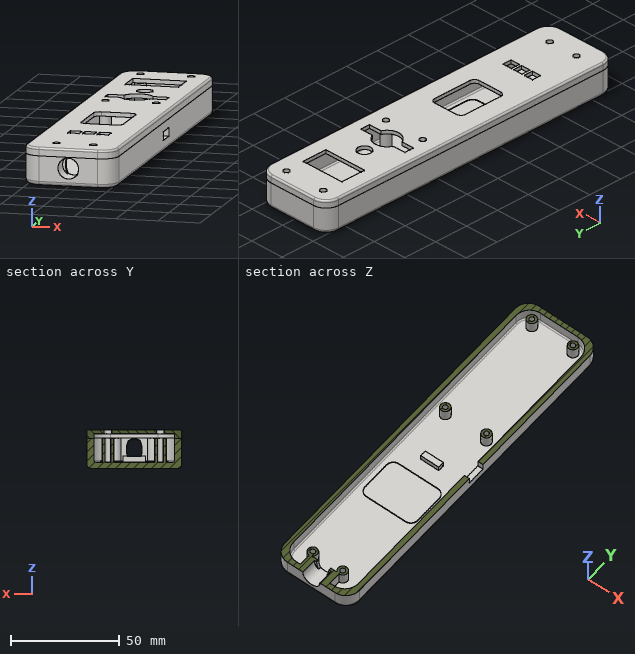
import cadquery as cq

width = 44.0
length = 187.26
height = 18.0
corner_radius = 8.0
lid_height = 4.0
seam_z = height - lid_height
bottom_fillet = 2.0
top_fillet = 1.0
front_y = -length / 2

wall = 3.0
floor_z = 3.0
floor_fillet = 0.75
plate_thickness = 2.0
plate_bottom = height - plate_thickness
inner_width = width - 2 * wall
inner_length = length - 2 * wall

upper_screw_x = 12.1
upper_screw_rows = (85.6, 21.3)
lower_screw_x = 8.8
lower_screw_y = -81.4
screw_clearance_diameter = 3.4
screw_pilot_diameter = 2.4
boss_diameter = 5.5
screw_points = [(side * upper_screw_x, y) for y in upper_screw_rows for side in (-1, 1)]
screw_points += [(side * lower_screw_x, lower_screw_y) for side in (-1, 1)]

display_width = 25.5
display_length = 14.7
display_y = 66.9
lamp_diameter = 7.7
lamp_y = 47.1
dial_diameter = 14.8
dial_slot_width = 29.0
dial_slot_length = 5.6
dial_y = 32.4
window_width = 20.0
window_length = 28.6
window_y = -19.7
window_corner_radius = 3.0
button_width = 5.5
button_length = 5.2
button_pitch = 7.0
button_count = 3
button_y = -54.7

bore_diameter = 9.8
bore_z = 8.7
bore_depth = 8.5
throat_half_width = 3.55
throat_half_height = 5.9
throat_depth = 1.5
cable_block_width = 2 * lower_screw_x
cable_block_length = bore_depth + throat_depth

pad_width = 31.0
pad_length = 24.0
pad_height = 0.4
pad_end_y = -14.1
pad_corner_radius = 4.0

stop_width = 10.6
stop_length = 3.4
stop_height = 2.7
stop_y = -3.9
port_length = 10.0
port_height = 4.0
port_start_y = -3.8
port_bottom = floor_z + stop_height


def block(size_x, size_y, bottom, top, y=0.0, x=0.0):
    """Upright rectangular block centred on (x, y)."""
    return cq.Workplane("XY", origin=(x, y, bottom)).rect(size_x, size_y).extrude(top - bottom)


def rounded_block(size_x, size_y, bottom, top, radius, y=0.0):
    return block(size_x, size_y, bottom, top, y).edges("|Z").fillet(radius)


def cylinders(points, diameter, bottom, top):
    sketch = cq.Workplane("XY", origin=(0, 0, bottom)).pushPoints(points)
    return sketch.circle(diameter / 2).extrude(top - bottom)


def make_cable_passage():
    """Bore from the end face, then the part of an oval that lies inside the bore."""
    end_plane = cq.Workplane("XZ", origin=(0, front_y, bore_z))
    bore = end_plane.circle(bore_diameter / 2).extrude(-bore_depth)
    long_bore = end_plane.circle(bore_diameter / 2).extrude(-cable_block_length)
    oval = end_plane.ellipse(throat_half_width, throat_half_height).extrude(-cable_block_length)
    return bore.union(long_bore.intersect(oval))


def make_base():
    shell = rounded_block(width, length, 0, seam_z, corner_radius)
    shell = shell.faces("<Z").edges().fillet(bottom_fillet)
    cavity = rounded_block(inner_width, inner_length, floor_z, seam_z, corner_radius)
    body = shell.cut(cavity.faces("<Z").edges().fillet(floor_fillet))

    body = body.union(cylinders(screw_points, boss_diameter, floor_z, seam_z))
    pad_y = pad_end_y - pad_length / 2
    pad_top = floor_z + pad_height
    body = body.union(rounded_block(pad_width, pad_length, floor_z, pad_top, pad_corner_radius, pad_y))
    body = body.union(block(stop_width, stop_length, floor_z, floor_z + stop_height, stop_y))

    inner_end_y = front_y + wall
    block_back_y = front_y + cable_block_length
    block_y = (inner_end_y + block_back_y) / 2
    body = body.union(block(cable_block_width, block_back_y - inner_end_y, floor_z, seam_z, block_y))
    body = body.cut(make_cable_passage())

    port_x = (width - wall) / 2
    port_y = port_start_y + port_length / 2
    body = body.cut(block(wall, port_length, port_bottom, port_bottom + port_height, port_y, port_x))

    return body.cut(cylinders(screw_points, screw_pilot_diameter, floor_z, seam_z))


def make_lid():
    shell = rounded_block(width, length, seam_z, height, corner_radius)
    shell = shell.faces(">Z").edges().fillet(top_fillet)
    body = shell.cut(rounded_block(inner_width, inner_length, seam_z, plate_bottom, corner_radius))

    body = body.cut(block(display_width, display_length, plate_bottom, height, display_y))
    body = body.cut(cylinders([(0, lamp_y)], lamp_diameter, plate_bottom, height))
    body = body.cut(cylinders([(0, dial_y)], dial_diameter, plate_bottom, height))
    body = body.cut(block(dial_slot_width, dial_slot_length, plate_bottom, height, dial_y))

    body = body.cut(
        rounded_block(window_width, window_length, plate_bottom, height, window_corner_radius, window_y)
    )
    for number in range(button_count):
        button_x = (number - (button_count - 1) / 2) * button_pitch
        body = body.cut(block(button_width, button_length, plate_bottom, height, button_y, button_x))

    return body.cut(cylinders(screw_points, screw_clearance_diameter, plate_bottom, height))


base = make_base()
lid = make_lid()
result = cq.Compound.makeCompound([base.val(), lid.val()])